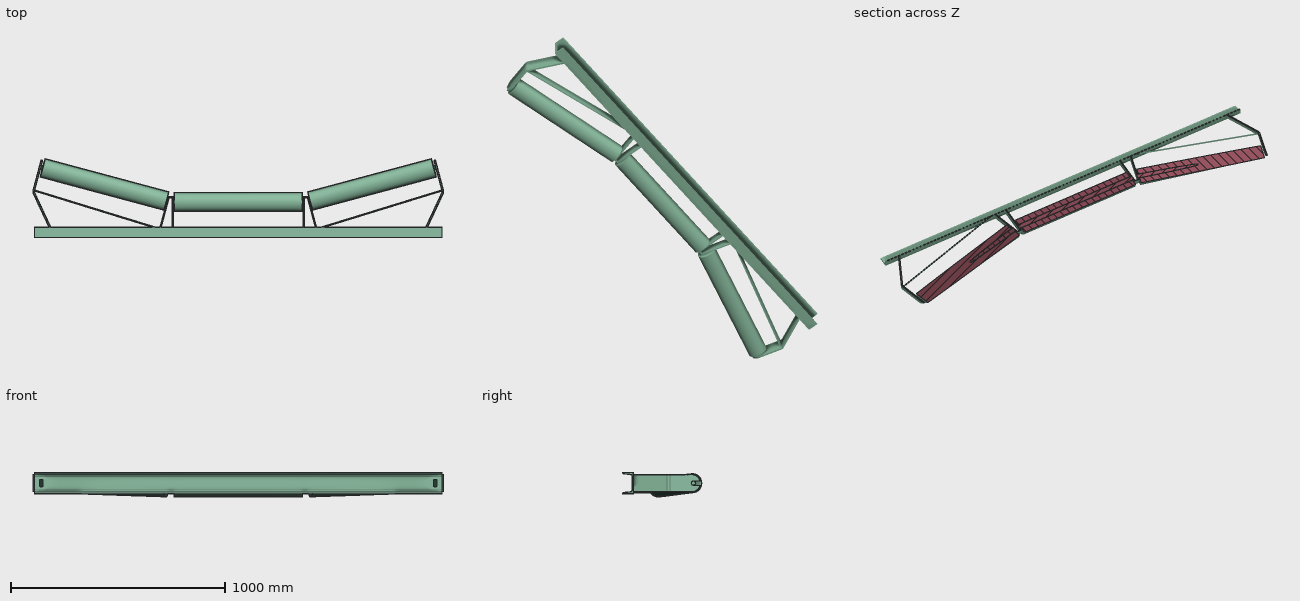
import cadquery as cq
import math


beam_length = 1904.0
beam_height = 100.0
beam_depth = 50.0
web_thickness = 6.0
flange_thickness = 8.5
flange_slope = 0.1
root_radius = 8.5
tip_radius = 4.5
beam_mid_height = beam_height / 2

bolt_slot_width = 18.0
bolt_slot_length = 36.0
bolt_slot_x = 920.0

roller_diameter = 89.0
roller_length = 598.0
axle_diameter = 20.0
centre_axle_y = 117.0
inner_axle_z = 30.0
outer_axle_z = beam_mid_height

trough_angle = math.radians(15.0)
wing_inner_x = 336.2
wing_inner_y = 121.6

inner_thickness = 6.0
inner_bottom = 5.0
inner_width = 55.0
inner_top_y = centre_axle_y + 25.0
centre_gap = 4.0
wing_inner_gap = 3.0

outer_thickness = 8.0
outer_width = 80.0
outer_bottom = beam_mid_height - outer_width / 2
end_radius = outer_width / 2
end_setback = 5.0
bend_radius = 22.0
outer_bend_y = 164.5
outer_foot_x = 876.0
wing_outer_gap = 9.0

brace_thickness = 5.0
brace_width = 50.0
brace_top_y = 173.0
brace_foot_x = 388.0

cos_t = math.cos(trough_angle)
sin_t = math.sin(trough_angle)
tan_t = math.tan(trough_angle)

axle_rise = (outer_axle_z - inner_axle_z) / roller_length
plan_run = math.sqrt(1 - axle_rise**2)
wing_direction = cq.Vector(cos_t * plan_run, sin_t * plan_run, axle_rise)
wing_inner_end = cq.Vector(wing_inner_x, wing_inner_y, inner_axle_z)
wing_outer_end = wing_inner_end + wing_direction * roller_length

centre_direction = cq.Vector(1, 0, 0)
centre_start = cq.Vector(-roller_length / 2, centre_axle_y, inner_axle_z)


def strip(points, bottom, width):
    """Upright strip with the given plan outline."""
    return cq.Workplane("XY").workplane(offset=bottom).polyline(points).close().extrude(width)


def mirrored(body):
    return body.mirror("YZ")


def flange_edges(y):
    """Selects the beam's long edges at one depth, between its top and bottom faces."""
    margin = 1.0
    return cq.selectors.BoxSelector(
        (-beam_length, y - margin, margin),
        (beam_length, y + margin, beam_height - margin),
    )


def make_beam():
    taper = flange_slope * (beam_depth - web_thickness) / 2
    tip = flange_thickness - taper
    root = flange_thickness + taper
    profile = [
        (0, 0),
        (0, beam_height),
        (-beam_depth, beam_height),
        (-beam_depth, beam_height - tip),
        (-web_thickness, beam_height - root),
        (-web_thickness, root),
        (-beam_depth, tip),
        (-beam_depth, 0),
    ]
    beam = cq.Workplane("YZ").polyline(profile).close().extrude(beam_length / 2, both=True)
    beam = beam.edges("|X").edges(flange_edges(-web_thickness)).fillet(root_radius)
    beam = beam.edges("|X").edges(flange_edges(-beam_depth)).fillet(tip_radius)
    slots = (
        cq.Workplane("XZ", origin=(0, 0, beam_mid_height))
        .pushPoints([(-bolt_slot_x, 0), (bolt_slot_x, 0)])
        .slot2D(bolt_slot_length, bolt_slot_width, 90)
        .extrude(web_thickness)
    )
    return beam.cut(slots)


def make_inner_bracket():
    centre_face_x = roller_length / 2 + centre_gap
    wing_face_x = wing_inner_x - wing_inner_gap * cos_t
    wing_face_y = wing_inner_y - wing_inner_gap * sin_t
    wing_leg_width = inner_thickness / cos_t
    under_top_y = inner_top_y - inner_thickness

    def wing_leg_x(y):
        return wing_face_x - (y - wing_face_y) * tan_t

    outline = [
        (centre_face_x, 0),
        (centre_face_x, inner_top_y),
        (wing_leg_x(inner_top_y), inner_top_y),
        (wing_leg_x(0), 0),
        (wing_leg_x(0) - wing_leg_width, 0),
        (wing_leg_x(under_top_y) - wing_leg_width, under_top_y),
        (centre_face_x + inner_thickness, under_top_y),
        (centre_face_x + inner_thickness, 0),
    ]
    return strip(outline, inner_bottom, inner_width)


face_x = wing_outer_end.x + wing_outer_gap * cos_t
face_y = wing_outer_end.y + wing_outer_gap * sin_t


def outer_face_x(y):
    """X of the outer bracket's roller-side face at a given Y."""
    return face_x + (face_y - y) * tan_t


def make_outer_bracket():
    t = outer_thickness
    tip_x = face_x - (end_radius - end_setback) * sin_t
    tip_y = face_y + (end_radius - end_setback) * cos_t
    bend_x = outer_face_x(outer_bend_y)

    lower_angle = math.atan2(outer_bend_y, bend_x - outer_foot_x)
    upper_angle = math.pi / 2 + trough_angle
    mitre_angle = (upper_angle + lower_angle) / 2 - math.pi / 2
    mitre = t / math.cos((upper_angle - lower_angle) / 2)
    outline = [
        (tip_x, tip_y),
        (bend_x, outer_bend_y),
        (outer_foot_x, 0),
        (outer_foot_x + t / math.sin(lower_angle), 0),
        (bend_x + mitre * math.cos(mitre_angle), outer_bend_y + mitre * math.sin(mitre_angle)),
        (tip_x + t * cos_t, tip_y + t * sin_t),
    ]
    bracket = strip(outline, outer_bottom, outer_width)
    outside_corner = cq.selectors.BoxSelector(
        (bend_x + t / 2, outer_bend_y - t, 0),
        (bend_x + 2 * t, outer_bend_y + t, beam_height),
    )
    bracket = bracket.edges("|Z").edges(outside_corner).fillet(bend_radius)

    leg = cq.Workplane(cq.Plane(
        origin=(face_x, face_y, outer_axle_z),
        xDir=(-sin_t, cos_t, 0),
        normal=(cos_t, sin_t, 0),
    ))
    round_end = leg.center(-end_setback, 0).circle(end_radius).extrude(t)
    corners = (
        leg.center(end_radius / 2 - end_setback, 0)
        .rect(end_radius, outer_width)
        .extrude(t)
        .cut(round_end)
    )
    open_slot = leg.center(end_radius / 2, 0).rect(end_radius, axle_diameter).extrude(t)
    slot = leg.circle(axle_diameter / 2).extrude(t).union(open_slot)
    return bracket.cut(corners).cut(slot)


def make_brace():
    top_x = outer_face_x(brace_top_y)
    angle = math.atan2(brace_top_y, top_x - brace_foot_x)
    end_width = brace_thickness / math.cos(angle - trough_angle)
    foot_width = brace_thickness / math.sin(angle)
    outline = [
        (top_x, brace_top_y),
        (brace_foot_x, 0),
        (brace_foot_x + foot_width, 0),
        (top_x + end_width * sin_t, brace_top_y - end_width * cos_t),
    ]
    return strip(outline, beam_mid_height - brace_width / 2, brace_width)


def make_roller(start, direction):
    plane = cq.Plane(origin=start.toTuple(), xDir=(0, 0, 1), normal=direction.toTuple())
    return (
        cq.Workplane(plane)
        .circle(roller_diameter / 2)
        .circle(axle_diameter / 2)
        .extrude(roller_length)
    )


def make_axle(start, direction, before, after):
    """Axle through a roller, reaching past its two ends."""
    origin = start - direction * before
    plane = cq.Plane(origin=origin.toTuple(), xDir=(0, 0, 1), normal=direction.toTuple())
    return cq.Workplane(plane).circle(axle_diameter / 2).extrude(before + roller_length + after)


wing_roller = make_roller(wing_inner_end, wing_direction)
rollers = [make_roller(centre_start, centre_direction), wing_roller, mirrored(wing_roller)]

centre_reach = centre_gap + inner_thickness
wing_inner_reach = wing_inner_gap + inner_thickness
wing_outer_reach = wing_outer_gap + outer_thickness
wing_axle = make_axle(wing_inner_end, wing_direction, wing_inner_reach, wing_outer_reach)
centre_axle = make_axle(centre_start, centre_direction, centre_reach, centre_reach)
axles = [centre_axle, wing_axle, mirrored(wing_axle)]

frame = make_beam()
for part in (make_inner_bracket(), make_outer_bracket(), make_brace()):
    frame = frame.union(part).union(mirrored(part))
for axle in axles:
    frame = frame.cut(axle)

result = cq.Compound.makeCompound([body.val() for body in [frame, *rollers, *axles]])